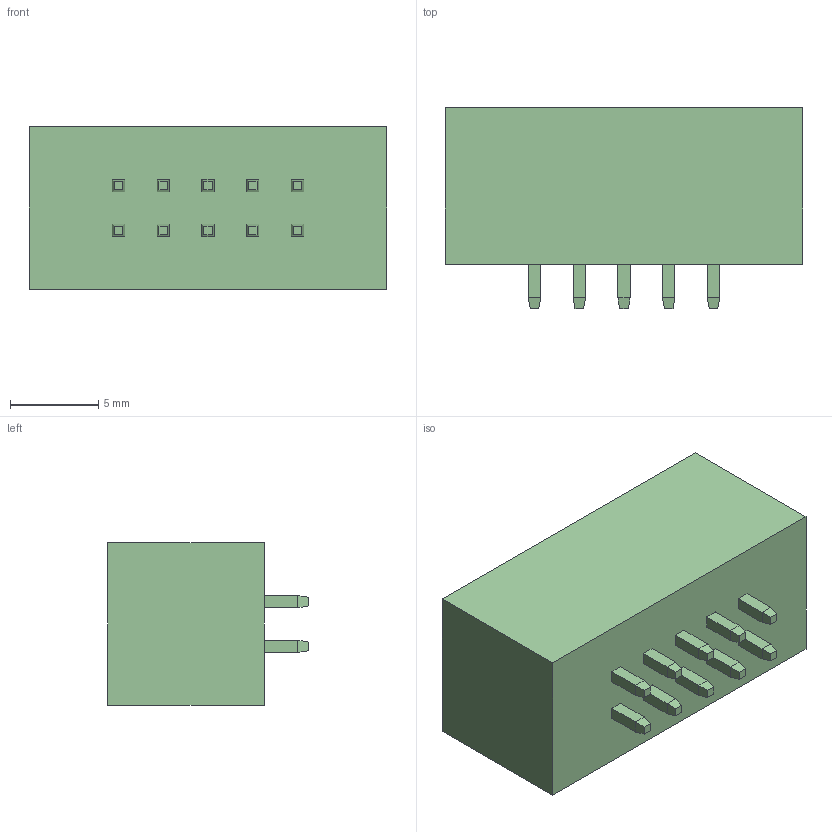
import cadquery as cq

BODY_WIDTH = 20.32
BODY_DEPTH = 8.9
BODY_HEIGHT = 9.2

PIN_PITCH = 2.54
PIN_COLUMNS = 5
PIN_ROWS = 2
PIN_SIZE = 0.7
PIN_LENGTH = 2.5
TIP_LENGTH = 0.6
TIP_TAPER = 10


def make_body():
    return cq.Workplane("XY").box(
        BODY_WIDTH, BODY_DEPTH, BODY_HEIGHT, centered=(True, False, True)
    )


def make_pin(x, z):
    """Square pin at (x, z): a straight shank, then a tip tapered on all four sides."""
    shank_length = PIN_LENGTH - TIP_LENGTH
    shank = (
        cq.Workplane("XZ")
        .center(x, z)
        .rect(PIN_SIZE, PIN_SIZE)
        .extrude(shank_length)
    )
    tip = (
        cq.Workplane("XZ", origin=(x, -shank_length, z))
        .rect(PIN_SIZE, PIN_SIZE)
        .extrude(TIP_LENGTH, taper=TIP_TAPER)
    )
    return shank.union(tip)


def make_header():
    header = make_body()
    for column in range(PIN_COLUMNS):
        x = (column - (PIN_COLUMNS - 1) / 2) * PIN_PITCH
        for row in range(PIN_ROWS):
            z = (row - (PIN_ROWS - 1) / 2) * PIN_PITCH
            header = header.union(make_pin(x, z))
    return header


result = make_header()